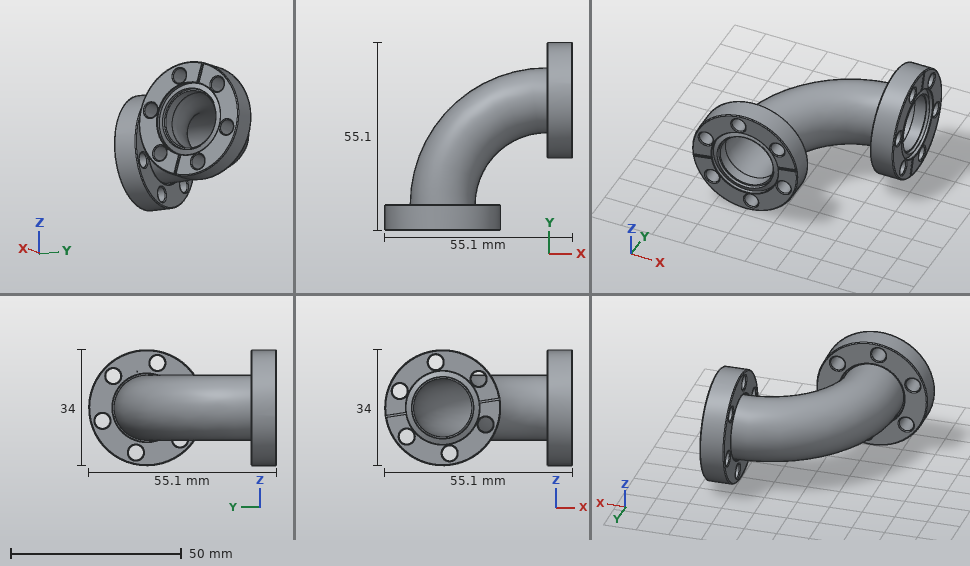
import cadquery as cq
import math


center_to_face = 38.1
flange_diameter = 34.0
flange_thickness = 7.5
edge_chamfer = 0.3

tube_outer_diameter = 19.1
bore_diameter = 17.1
bend_radius = center_to_face - flange_thickness
tube_end_depth = 4.9

bolt_count = 6
bolt_circle_diameter = 27.0
bolt_hole_diameter = 4.4
bolt_hole_chamfer = 0.3
groove_count = 2
groove_width = 0.6
groove_depth = 0.3
groove_angle = 90.0

hub_head_diameter = 21.5
hub_neck_diameter = 20.0
hub_shoulder_depth = 3.5
hub_back_recess = 0.7
ring_opening_chamfer = 0.2
knife_diameter = 18.3
knife_depth = 0.4
knife_slope = 28.5
knife_root_diameter = 18.0
knife_root_depth = 1.3

front_ring_turn = 8.7
side_ring_turn = 16.5

bore_radius = bore_diameter / 2
tube_radius = tube_outer_diameter / 2
head_radius = hub_head_diameter / 2
neck_radius = hub_neck_diameter / 2
knife_radius = knife_diameter / 2
flange_radius = flange_diameter / 2
cone_foot_depth = knife_depth + (head_radius - knife_radius) * math.tan(math.radians(knife_slope))
hub_length = flange_thickness - hub_back_recess
tube_straight_length = flange_thickness - tube_end_depth


def revolve_section(points):
    """Revolve (radius, depth) points about the port axis; depth runs along +Z from the sealing face."""
    section = cq.Workplane("XZ").polyline(points).close()
    return section.revolve(360, (0, 0, 0), (0, 1, 0))


def make_hub():
    """Weld hub with a knife edge, a shoulder behind it and a socket for the tube end."""
    return revolve_section([
        (bore_radius, knife_root_depth),
        (knife_root_diameter / 2, knife_root_depth),
        (knife_radius, knife_depth),
        (head_radius, cone_foot_depth),
        (head_radius, hub_shoulder_depth),
        (neck_radius, hub_shoulder_depth),
        (neck_radius, hub_length),
        (tube_radius, hub_length),
        (tube_radius, tube_end_depth),
        (bore_radius, tube_end_depth),
    ])


def make_ring():
    """Rotatable bolt ring: chamfered disc with a stepped opening, bolt holes and leak-check grooves."""
    ring = revolve_section([
        (head_radius + ring_opening_chamfer, 0),
        (flange_radius - edge_chamfer, 0),
        (flange_radius, edge_chamfer),
        (flange_radius, flange_thickness - edge_chamfer),
        (flange_radius - edge_chamfer, flange_thickness),
        (neck_radius + ring_opening_chamfer, flange_thickness),
        (neck_radius, flange_thickness - ring_opening_chamfer),
        (neck_radius, hub_shoulder_depth),
        (head_radius, hub_shoulder_depth),
        (head_radius, ring_opening_chamfer),
    ])
    hole_radius = bolt_hole_diameter / 2
    mouth_radius = hole_radius + bolt_hole_chamfer
    hole = revolve_section([
        (0, 0),
        (mouth_radius, 0),
        (hole_radius, bolt_hole_chamfer),
        (hole_radius, flange_thickness - bolt_hole_chamfer),
        (mouth_radius, flange_thickness),
        (0, flange_thickness),
    ]).translate((bolt_circle_diameter / 2, 0, 0))
    for i in range(bolt_count):
        ring = ring.cut(hole.rotate((0, 0, 0), (0, 0, 1), i * 360 / bolt_count))

    groove = cq.Workplane("XY").box(flange_radius, groove_width, groove_depth, centered=(False, True, False))
    for i in range(groove_count):
        ring = ring.cut(groove.rotate((0, 0, 0), (0, 0, 1), groove_angle + i * 360 / groove_count))
    return ring


def at_front_port(body):
    """Turn a port-axis body so that its sealing face looks toward -Y."""
    return body.rotate((0, 0, 0), (1, 0, 0), -90).translate((0, -center_to_face, 0))


def at_side_port(body):
    """Turn a port-axis body so that its sealing face looks toward +X."""
    return body.rotate((0, 0, 0), (0, 1, 0), -90).translate((center_to_face, 0, 0))


def make_tube():
    """Quarter bend with short straight ends that sit in the hub sockets."""
    straight_end = -(bend_radius + tube_straight_length)
    path = (
        cq.Workplane("XY")
        .moveTo(0, straight_end)
        .lineTo(0, -bend_radius)
        .radiusArc((bend_radius, 0), bend_radius)
        .lineTo(-straight_end, 0)
    )
    section = cq.Workplane("XZ", origin=(0, straight_end, 0)).circle(tube_radius).circle(bore_radius)
    return section.sweep(path)


tube = make_tube()
front_hub = at_front_port(make_hub())
side_hub = at_side_port(make_hub())
front_ring = at_front_port(make_ring().rotate((0, 0, 0), (0, 0, 1), 90 - front_ring_turn))
side_ring = at_side_port(make_ring().rotate((0, 0, 0), (0, 0, 1), side_ring_turn - 90))

result = cq.Compound.makeCompound([
    tube.val(),
    front_hub.val(),
    side_hub.val(),
    front_ring.val(),
    side_ring.val(),
])